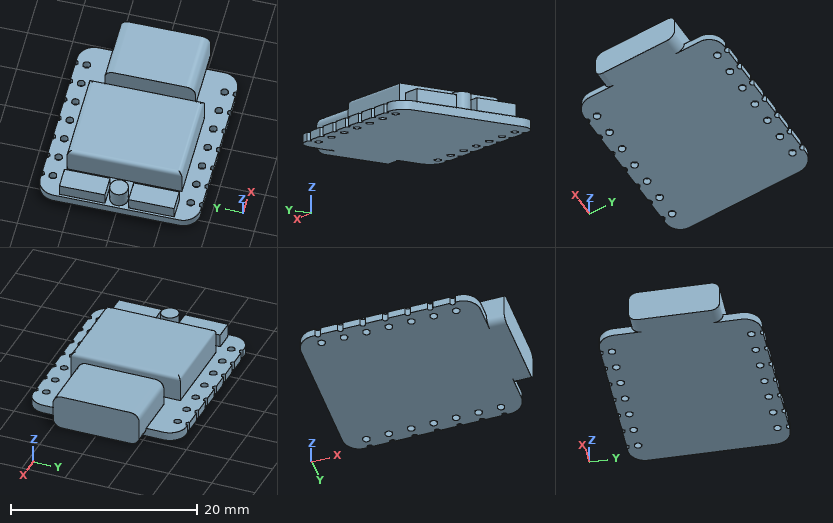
import cadquery as cq

board_length = 20.33
board_width = 17.8
board_thickness = 1.0
board_corner_radius = 1.92

pin_count = 7
pin_pitch = board_width / pin_count
pin_hole_diameter = 0.8
edge_notch_diameter = 0.6
pin_row_y = (board_width - pin_pitch) / 2

overall_length = 22.32
overall_height = 4.0
connector_length = 7.03
connector_width = 10.0
connector_radius = 1.0

shield_start_x = 3.77
shield_length = 4 * pin_pitch
shield_width = 5 * pin_pitch
shield_fillet = 0.51

button_start_x = 0.27
button_length = 2.3
button_width = 5.05
button_top_z = 2.5
lamp_diameter = 2.0
lamp_top_z = 3.0


def block(start_x, length, center_y, width, bottom_z, top_z):
    """Box given by its left face, Y centre and bottom and top levels."""
    return (
        cq.Workplane("XY")
        .box(length, width, top_z - bottom_z, centered=(False, True, False))
        .translate((start_x, center_y, bottom_z))
    )


def make_board():
    board = block(0, board_length, 0, board_width, 0, board_thickness)
    board = board.edges("|Z").fillet(board_corner_radius)
    pin_xs = [pin_pitch * (i + 1) for i in range(pin_count)]
    for row_y, diameter in (
        (pin_row_y, pin_hole_diameter),
        (board_width / 2, edge_notch_diameter),
    ):
        centers = [(x, side * row_y) for x in pin_xs for side in (-1, 1)]
        cutters = (
            cq.Workplane("XY")
            .pushPoints(centers)
            .circle(diameter / 2)
            .extrude(board_thickness)
        )
        board = board.cut(cutters)
    return board


def make_connector():
    start_x = overall_length - connector_length
    body = block(start_x, connector_length, 0, connector_width, 0, overall_height)
    return body.edges("|X").fillet(connector_radius)


def make_shield():
    body = block(
        shield_start_x, shield_length, 0, shield_width, board_thickness, overall_height
    )
    return body.faces(">Z").edges().fillet(shield_fillet)


def make_button(side):
    center_y = side * (shield_width - button_width) / 2
    return block(
        button_start_x, button_length, center_y, button_width, board_thickness, button_top_z
    )


def make_lamp():
    return (
        cq.Workplane("XY", origin=(0, 0, board_thickness))
        .center(button_start_x + lamp_diameter / 2, 0)
        .circle(lamp_diameter / 2)
        .extrude(lamp_top_z - board_thickness)
    )


result = make_board().union(make_connector()).union(make_shield()).union(make_lamp())
for side in (-1, 1):
    result = result.union(make_button(side))